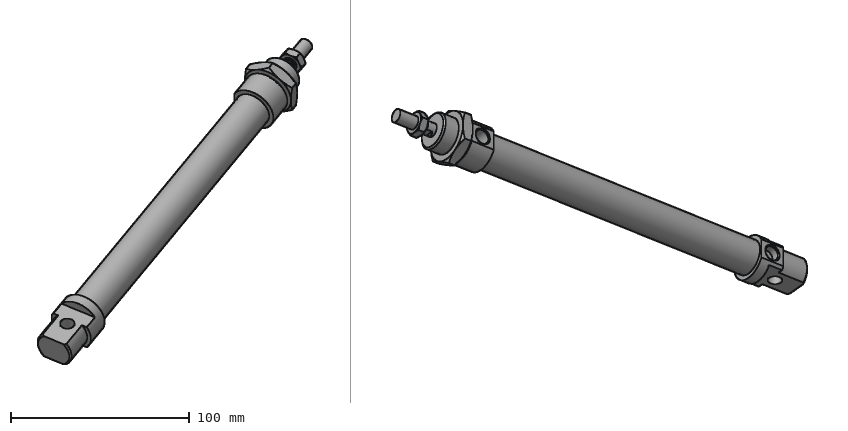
import cadquery as cq
import math

LENGTH = 280.0
TIP_Y = LENGTH / 2
REAR_Y = -LENGTH / 2

ROD_DIAMETER = 8.0
NECK_DIAMETER = 6.5
THREAD_LENGTH = 18.2
NECK_END_FROM_TIP = 19.5
THREAD_CHAMFER = 0.7
WRENCH_FLATS_WIDTH = 6.2
WRENCH_FLATS_LENGTH = 3.5
ROD_INNER_Y = 56.0

NOSE_DIAMETER = 22.0
NOSE_FRONT_Y = 114.5
END_CHAMFER = 0.98
CAP_DIAMETER = 27.0
CAP_LENGTH = 15.5
FRONT_CAP_Y = 96.0
TUBE_DIAMETER = 21.3
REAR_CAP_Y = -106.5
REAR_CAP_END_Y = REAR_CAP_Y - CAP_LENGTH

PORT_FLAT_WIDTH = 12.0
PORT_FLAT_X = math.sqrt(CAP_DIAMETER**2 - PORT_FLAT_WIDTH**2) / 2
PORT_DIAMETER = 8.7
PORT_CHAMFER = 0.7
REAR_PORT_DEPTH = 5.5

TONGUE_THICKNESS = 16.0
TONGUE_FLATS_START_Y = -112.8
PIVOT_HOLE_DIAMETER = 8.0
PIVOT_HOLE_Y = -125.0

NOSE_NUT_WIDTH = 30.0
NOSE_NUT_THICKNESS = 7.0
NOSE_NUT_FRONT_Y = 104.5
ROD_NUT_WIDTH = 13.0
ROD_NUT_THICKNESS = 5.0
ROD_NUT_FRONT_Y = 127.5
NUT_CHAMFER_ANGLE = 30.0


def cylinder(diameter, front_y, back_y):
    """Round bar on the Y axis, from front_y back to back_y."""
    plane = cq.Workplane("XZ", origin=(0, front_y, 0))
    return plane.circle(diameter / 2).extrude(front_y - back_y)


def make_rod():
    neck_end_y = TIP_Y - NECK_END_FROM_TIP
    thread_end_y = TIP_Y - THREAD_LENGTH
    thread = cylinder(ROD_DIAMETER, TIP_Y, thread_end_y).faces("<Y").chamfer(THREAD_CHAMFER)
    neck = cylinder(NECK_DIAMETER, thread_end_y, neck_end_y)
    shank = cylinder(ROD_DIAMETER, neck_end_y, ROD_INNER_Y)
    rod = thread.union(neck).union(shank)

    flat_z = WRENCH_FLATS_WIDTH / 2
    ramp_height = ROD_DIAMETER / 2 - flat_z
    flats_end_y = neck_end_y - WRENCH_FLATS_LENGTH
    flat_cutter = (
        cq.Workplane("YZ")
        .moveTo(neck_end_y, flat_z)
        .lineTo(flats_end_y, flat_z)
        .lineTo(flats_end_y - ramp_height, flat_z + ramp_height)
        .lineTo(neck_end_y, flat_z + ramp_height)
        .close()
        .extrude(ROD_DIAMETER / 2, both=True)
    )
    return rod.cut(flat_cutter).cut(flat_cutter.mirror("XY"))


def port_cutter(y, bottom_x):
    """Chamfered round port entering from -X and ending flat at bottom_x."""
    radius = PORT_DIAMETER / 2
    return (
        cq.Workplane("XY")
        .moveTo(bottom_x, y)
        .lineTo(bottom_x, y + radius)
        .lineTo(-PORT_FLAT_X + PORT_CHAMFER, y + radius)
        .lineTo(-PORT_FLAT_X, y + radius + PORT_CHAMFER)
        .lineTo(-PORT_FLAT_X, y)
        .close()
        .revolve(360, (bottom_x, y, 0), (bottom_x - 2.8, y, 0))
    )


def make_cap(front_y):
    """Round end cap with one flat on its -X side for the port."""
    flat_cutter = cq.Workplane("XY").box(CAP_DIAMETER, CAP_LENGTH, CAP_DIAMETER)
    flat_center = (-PORT_FLAT_X - CAP_DIAMETER / 2, front_y - CAP_LENGTH / 2, 0)
    return cylinder(CAP_DIAMETER, front_y, front_y - CAP_LENGTH).cut(flat_cutter.translate(flat_center))


def make_rear_end():
    """Rear cap and tongue, milled flat on both Z sides and drilled for the pivot."""
    tongue = cylinder(NOSE_DIAMETER, REAR_CAP_END_Y, REAR_Y).faces("<Y").chamfer(END_CHAMFER)
    rear_end = make_cap(REAR_CAP_Y).union(tongue)
    flats_length = TONGUE_FLATS_START_Y - REAR_Y
    envelope = cylinder(CAP_DIAMETER, REAR_CAP_Y, TONGUE_FLATS_START_Y).union(
        cq.Workplane("XY")
        .box(CAP_DIAMETER, flats_length, TONGUE_THICKNESS)
        .translate((0, REAR_Y + flats_length / 2, 0))
    )
    pivot_hole = (
        cq.Workplane("XY")
        .center(0, PIVOT_HOLE_Y)
        .circle(PIVOT_HOLE_DIAMETER / 2)
        .extrude(TONGUE_THICKNESS, both=True)
    )
    return rear_end.intersect(envelope).cut(pivot_hole)


def make_housing():
    nose = cylinder(NOSE_DIAMETER, NOSE_FRONT_Y, FRONT_CAP_Y).faces(">Y").chamfer(END_CHAMFER)
    tube = cylinder(TUBE_DIAMETER, FRONT_CAP_Y - CAP_LENGTH, REAR_CAP_Y)
    housing = nose.union(make_cap(FRONT_CAP_Y)).union(tube).union(make_rear_end())

    front_port = port_cutter(FRONT_CAP_Y - CAP_LENGTH / 2, 0)
    rear_port = port_cutter(REAR_CAP_Y - CAP_LENGTH / 2, -PORT_FLAT_X + REAR_PORT_DEPTH)
    rod_bore = cylinder(ROD_DIAMETER, NOSE_FRONT_Y, ROD_INNER_Y)
    return housing.cut(front_port).cut(rear_port).cut(rod_bore)


def make_nut(width, thickness, bore, front_y, turn):
    """Hexagon nut on the Y axis, corners rounded off by a cone on both faces."""
    corner_radius = width / math.sqrt(3)
    face_radius = width / 2
    chamfer_depth = (corner_radius - face_radius) * math.tan(math.radians(NUT_CHAMFER_ANGLE))
    back_y = front_y - thickness
    hexagon = (
        cq.Workplane("XZ", origin=(0, front_y, 0))
        .polygon(6, 2 * corner_radius)
        .circle(bore / 2)
        .extrude(thickness)
        .rotate((0, 0, 0), (0, 1, 0), turn)
    )
    chamfered_envelope = (
        cq.Workplane("XY")
        .moveTo(0, front_y)
        .lineTo(face_radius, front_y)
        .lineTo(corner_radius, front_y - chamfer_depth)
        .lineTo(corner_radius, back_y + chamfer_depth)
        .lineTo(face_radius, back_y)
        .lineTo(0, back_y)
        .close()
        .revolve(360, (0, 0, 0), (0, 1, 0))
    )
    return hexagon.intersect(chamfered_envelope)


rod = make_rod()
housing = make_housing()
nose_nut = make_nut(NOSE_NUT_WIDTH, NOSE_NUT_THICKNESS, NOSE_DIAMETER, NOSE_NUT_FRONT_Y, 90)
rod_nut = make_nut(ROD_NUT_WIDTH, ROD_NUT_THICKNESS, ROD_DIAMETER, ROD_NUT_FRONT_Y, 0)

result = cq.Compound.makeCompound([housing.val(), rod.val(), nose_nut.val(), rod_nut.val()])